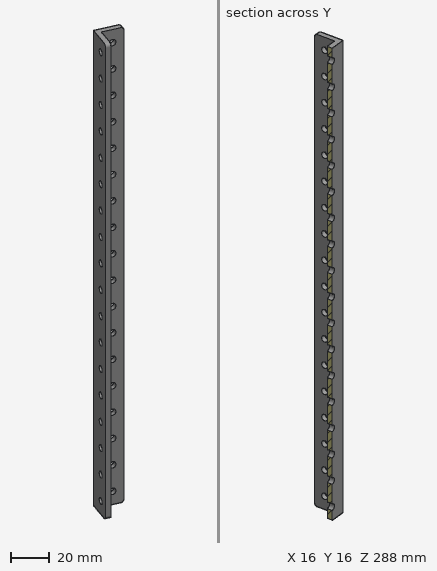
import cadquery as cq

length = 288.0
hole_count = 18
thickness = 3.2
hole_diameter = 3.7
hole_offset = 9.5
corner_radius = 2.0

hole_pitch = length / hole_count
leg_width = hole_pitch


def drilled_leg():
    """Flat leg in the XZ plane with rounded free corners and a row of holes."""
    plate = cq.Workplane("XY").box(leg_width, thickness, length, centered=False)
    plate = plate.edges("|Y and >X").fillet(corner_radius)
    hole_centres = [(hole_offset, (i + 0.5) * hole_pitch) for i in range(hole_count)]
    holes = (
        cq.Workplane("XZ")
        .pushPoints(hole_centres)
        .circle(hole_diameter / 2)
        .extrude(-thickness)
    )
    return plate.cut(holes)


leg_along_x = drilled_leg()
leg_along_y = leg_along_x.rotate((0, 0, 0), (0, 0, 1), 90).mirror("YZ")

result = leg_along_x.union(leg_along_y)